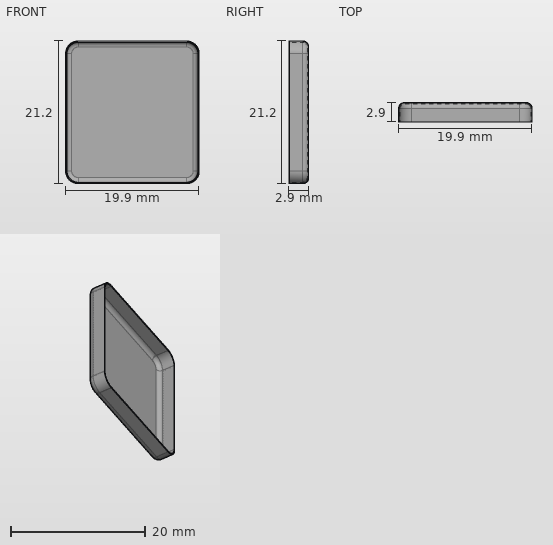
import cadquery as cq

width = 19.9
depth = 2.9
height = 21.25

wall = 0.2
corner_radius = 1.9
outer_edge_radius = 0.9
inner_edge_radius = outer_edge_radius - wall

mouth_y = -depth / 2


def rounded_block(inset, length, edge_radius):
    """Block from the mouth toward +Y, inset from the outline, with a rounded far rim."""
    block = (
        cq.Workplane("XZ", origin=(0, mouth_y, 0))
        .rect(width - 2 * inset, height - 2 * inset)
        .extrude(-length)
    )
    block = block.edges("|Y").fillet(corner_radius - inset)
    return block.faces(">Y").edges().fillet(edge_radius)


shell = rounded_block(0, depth, outer_edge_radius)
cavity = rounded_block(wall, depth - wall, inner_edge_radius)

result = shell.cut(cavity)